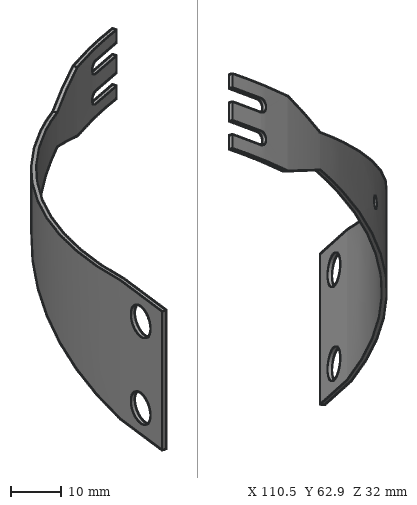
import cadquery as cq
import math

thickness = 1.0
overall_length = 110.5
plate_length = 15.0
plate_height = 32.0
mount_hole_diameter = 7.0
mount_hole_spacing = 20.0
mount_hole_inset = 7.7

outer_radius = 104.2
inner_radius = outer_radius - thickness
neck_angle = 50.4
shoulder_angle = 57.0
tip_angle = math.degrees(math.asin((overall_length - plate_length) / outer_radius))
neck_height = 8.0
small_hole_angle = 33.1
small_hole_diameter = 2.7

slot_width = 3.0
outer_tine_height = 3.0
middle_tine_height = 4.0
slot_depth = 10.0
slot_offset = (middle_tine_height + slot_width) / 2
fork_height = middle_tine_height + 2 * (slot_width + outer_tine_height)

cutter_length = 11.0


def arm_point(radius, angle, z):
    """Point on the arm; the plate's outer face is y = 0 and its bend line is x = 0."""
    a = math.radians(angle)
    return cq.Vector(-radius * math.sin(a), outer_radius - radius * math.cos(a), z)


def arm_panel(start_angle, end_angle, start_height, end_height):
    """Bent sheet panel whose height changes linearly along the arc."""

    def edge(radius, side):
        def point(t):
            angle = start_angle + t * (end_angle - start_angle)
            height = start_height + t * (end_height - start_height)
            return arm_point(radius, angle, side * height / 2).toTuple()

        return cq.Workplane("XY").parametricCurve(point, makeWire=False).edges().val()

    edges = [
        edge(outer_radius, -1),
        edge(inner_radius, -1),
        edge(inner_radius, 1),
        edge(outer_radius, 1),
    ]
    faces = [cq.Face.makeRuledSurface(edges[i - 1], edges[i]) for i in range(len(edges))]
    for angle, height in ((start_angle, start_height), (end_angle, end_height)):
        corners = [
            arm_point(outer_radius, angle, -height / 2),
            arm_point(inner_radius, angle, -height / 2),
            arm_point(inner_radius, angle, height / 2),
            arm_point(outer_radius, angle, height / 2),
        ]
        faces.append(cq.Face.makeFromWires(cq.Wire.makePolygon(corners, close=True)))
    return cq.Workplane(cq.Solid.makeSolid(cq.Shell.makeShell(faces)).fix())


def radial_plane(angle, z):
    """Workplane on the sheet's mid-surface: local X towards the tip, normal radial."""
    middle_radius = (outer_radius + inner_radius) / 2
    a = math.radians(angle)
    along = cq.Vector(-math.cos(a), math.sin(a), 0)
    outward = cq.Vector(-math.sin(a), -math.cos(a), 0)
    return cq.Workplane(cq.Plane(arm_point(middle_radius, angle, z), along, outward))


def radial_hole(angle, z, diameter):
    return radial_plane(angle, z).circle(diameter / 2).extrude(cutter_length / 2, both=True)


def slot_cutter(z):
    round_depth = slot_depth - slot_width / 2
    center_angle = tip_angle - math.degrees(round_depth / outer_radius)
    straight = (
        radial_plane(center_angle, z)
        .center(slot_depth / 2, 0)
        .rect(slot_depth, slot_width)
        .extrude(cutter_length / 2, both=True)
    )
    return straight.union(radial_hole(center_angle, z, slot_width))


plate = cq.Workplane("XY").box(plate_length, thickness, plate_height, centered=(False, False, True))
mount_holes = (
    cq.Workplane("XZ")
    .center(plate_length - mount_hole_inset, 0)
    .rarray(1.1, mount_hole_spacing, 1, 2)
    .circle(mount_hole_diameter / 2)
    .extrude(cutter_length, both=True)
)

result = (
    plate.cut(mount_holes)
    .union(arm_panel(0, neck_angle, plate_height, neck_height))
    .union(arm_panel(neck_angle, shoulder_angle, neck_height, fork_height))
    .union(arm_panel(shoulder_angle, tip_angle, fork_height, fork_height))
    .cut(radial_hole(small_hole_angle, 0, small_hole_diameter))
)
for side in (-1, 1):
    result = result.cut(slot_cutter(side * slot_offset))